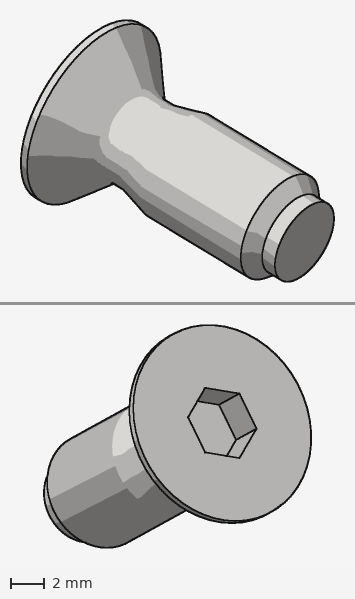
import cadquery as cq
import math

total_length = 17.0
head_radius = 6.0
body_radius = 3.5
tip_radius = 2.65
neck_radius = 2.9

rim_end = 0.5
taper_start = 7.1
body_end = 15.06
tip_start = 16.0

head_angle = math.radians(45)
taper_angle = math.radians(15)
head_blend_radius = 1.0
taper_blend_radius = 1.0

socket_across_flats = 4.0
socket_depth = 2.5


def arc_point(center_x, blend_radius, angle):
    """Point on a neck blend, at a signed angle from the blend's lowest point."""
    return (
        center_x + blend_radius * math.sin(angle),
        neck_radius + blend_radius * (1 - math.cos(angle)),
    )


cone_foot = rim_end + (head_radius - neck_radius) / math.tan(head_angle)
head_blend_x = cone_foot + head_blend_radius * math.tan(head_angle / 2)
taper_foot = taper_start - (body_radius - neck_radius) / math.tan(taper_angle)
taper_blend_x = taper_foot - taper_blend_radius * math.tan(taper_angle / 2)

half_profile = (
    cq.Workplane("XY")
    .moveTo(0, 0)
    .lineTo(0, head_radius)
    .lineTo(rim_end, head_radius)
    .lineTo(*arc_point(head_blend_x, head_blend_radius, -head_angle))
    .threePointArc(
        arc_point(head_blend_x, head_blend_radius, -head_angle / 2),
        (head_blend_x, neck_radius),
    )
    .lineTo(taper_blend_x, neck_radius)
    .threePointArc(
        arc_point(taper_blend_x, taper_blend_radius, taper_angle / 2),
        arc_point(taper_blend_x, taper_blend_radius, taper_angle),
    )
    .lineTo(taper_start, body_radius)
    .lineTo(body_end, body_radius)
    .lineTo(tip_start, tip_radius)
    .lineTo(total_length, tip_radius)
    .lineTo(total_length, 0)
    .close()
)
screw = half_profile.revolve(360, (0, 0, 0), (1, 0, 0))

socket_across_corners = socket_across_flats / math.cos(math.radians(30))
socket = cq.Workplane("YZ").polygon(6, socket_across_corners).extrude(socket_depth)

result = screw.cut(socket)